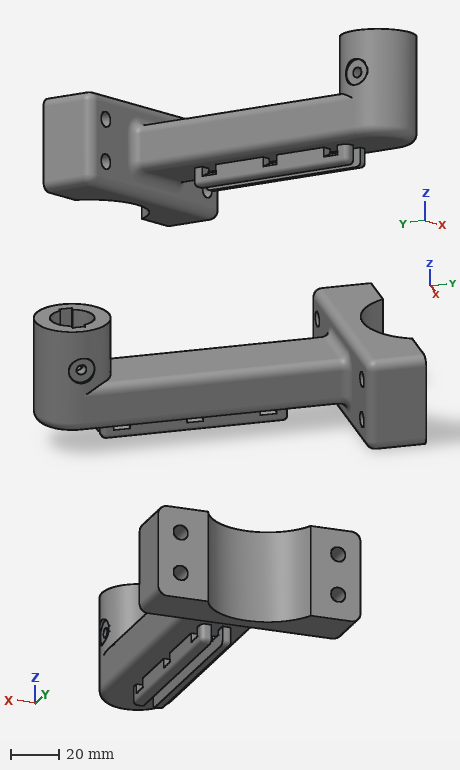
import cadquery as cq


total_length = 156.0
total_height = 55.0

block_width = 90.0
block_depth = 25.0
block_height = 40.0
block_mid_z = block_height / 2
edge_radius = 4.0
saddle_radius = 25.0
saddle_offset = 10.0
bolt_diameter = 6.4
bolt_spacing_x = 70.0
bolt_spacing_z = 18.0

arm_width = 32.0
arm_height = 20.0
arm_bottom_z = block_mid_z - arm_height / 2
arm_top_z = block_mid_z + arm_height / 2
root_radius = 4.0

socket_diameter = arm_width
socket_y = socket_diameter / 2 - total_length
bore_diameter = 18.5
bore_depth = total_height - arm_top_z
keyway_span = 21.5
keyway_width = 5.5
pin_z = 37.5
keyway_depth = 15.0
pin_diameter = 4.2
pin_seat_diameter = 11.0
pin_seat_span = 29.0

rail_length = 80.0
rail_mid_y = -88.9
rail_height = 8.0
rail_thickness = 4.4
rail_gap = 5.0
rails_width = rail_gap + 2 * rail_thickness
rail_edge_radius = 2.0
slot_length = 7.0
slot_pitch = 31.5
slot_count = 3
slot_outer_depth = 4.0
slot_inner_depth = 2.0


def make_block():
    """Block with every edge rounded except those of the saddle side."""
    block = (
        cq.Workplane("XY")
        .box(block_width, block_depth, block_height, centered=(True, True, False))
        .translate((0, -block_depth / 2, 0))
    )
    return block.edges("not(>Y)").fillet(edge_radius)


def make_arm():
    """Rounded bar from the block to the socket axis."""
    arm = (
        cq.Workplane("XZ", origin=(0, -block_depth / 2, block_mid_z))
        .rect(arm_width, arm_height)
        .extrude(-socket_y - block_depth / 2)
    )
    return arm.edges("|Y").fillet(edge_radius)


def make_socket():
    """Cylinder from the underside of the arm to the top, rounded at the bottom."""
    socket = (
        cq.Workplane("XY", origin=(0, socket_y, arm_bottom_z))
        .circle(socket_diameter / 2)
        .extrude(total_height - arm_bottom_z)
    )
    return socket.faces("<Z").edges().fillet(edge_radius)


def fillet_arm_root(body):
    """Blend the arm into the front face of the block."""
    margin = 0.2
    root_edges = cq.selectors.BoxSelector(
        (-arm_width / 2 - margin, -block_depth - margin, arm_bottom_z - margin),
        (arm_width / 2 + margin, -block_depth + margin, arm_top_z + margin),
        boundingbox=True,
    )
    return body.edges(root_edges).fillet(root_radius)


def make_rails():
    """Rounded bar split lengthwise into two rails with cross slots at the top."""
    overlap = edge_radius
    bar = (
        cq.Workplane("XY", origin=(0, rail_mid_y, arm_bottom_z - rail_height))
        .rect(rails_width, rail_length)
        .extrude(rail_height + overlap)
    )
    bar = bar.edges("|Z or <Z").fillet(rail_edge_radius)
    gap = (
        cq.Workplane("XY", origin=(0, rail_mid_y, arm_bottom_z - rail_height))
        .rect(rail_gap, rail_length)
        .extrude(rail_height)
    )
    rails = bar.cut(gap)
    for index in range(slot_count):
        slot_y = rail_mid_y + (index - (slot_count - 1) / 2) * slot_pitch
        rails = rails.cut(make_slot(slot_y))
    return rails


def make_slot(slot_y):
    """Cross slot whose floor slopes down from the gap to the outer rail sides."""
    return (
        cq.Workplane("XZ", origin=(0, slot_y + slot_length / 2, arm_bottom_z))
        .moveTo(-rails_width / 2, 0)
        .lineTo(-rails_width / 2, -slot_outer_depth)
        .lineTo(-rail_gap / 2, -slot_inner_depth)
        .lineTo(rail_gap / 2, -slot_inner_depth)
        .lineTo(rails_width / 2, -slot_outer_depth)
        .lineTo(rails_width / 2, 0)
        .close()
        .extrude(slot_length)
    )


def make_saddle():
    """Cylinder that hollows the back of the block."""
    return (
        cq.Workplane("XY", origin=(0, saddle_offset, 0))
        .circle(saddle_radius)
        .extrude(block_height)
    )


def make_bolt_holes():
    """Four holes through the block along Y."""
    return (
        cq.Workplane("XZ", origin=(0, 0, block_mid_z))
        .rect(bolt_spacing_x, bolt_spacing_z, forConstruction=True)
        .vertices()
        .circle(bolt_diameter / 2)
        .extrude(block_depth)
    )


def make_bore():
    """Blind bore with two opposite, shallower keyways."""
    top = cq.Workplane("XY", origin=(0, socket_y, total_height))
    bore = top.circle(bore_diameter / 2).extrude(-bore_depth)
    keyways = top.rect(keyway_span, keyway_width).extrude(-keyway_depth)
    return bore.union(keyways)


def make_pin_hole():
    """Cross hole along X with a flat round seat on each side."""
    middle = cq.Workplane("YZ", origin=(0, socket_y, pin_z))
    cutter = middle.circle(pin_diameter / 2).extrude(socket_diameter, both=True)
    for side in (-1, 1):
        seat = (
            middle.workplane(offset=side * pin_seat_span / 2)
            .circle(pin_seat_diameter / 2)
            .extrude(side * socket_diameter / 2)
        )
        cutter = cutter.union(seat)
    return cutter


body = fillet_arm_root(make_block().union(make_arm()))
body = body.union(make_socket()).union(make_rails())
body = body.cut(make_saddle()).cut(make_bolt_holes())
result = body.cut(make_bore()).cut(make_pin_hole())